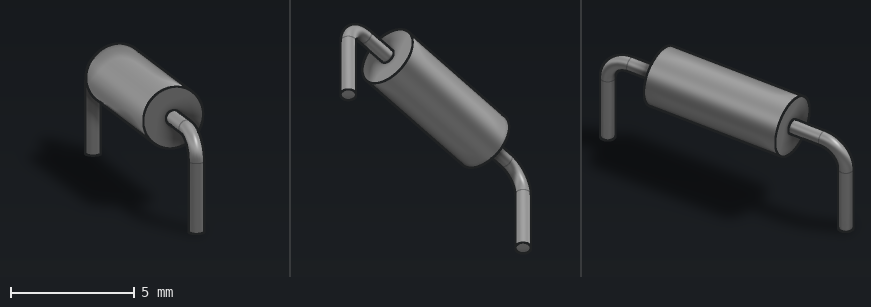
import cadquery as cq

overall_length = 12.06
overall_height = 5.41
body_diameter = 2.62
body_length = 6.31
lead_diameter = 0.64
bend_radius = 1.11

body_end = body_length / 2
lead_x = (overall_length - lead_diameter) / 2
bend_start = lead_x - bend_radius
tip_z = body_diameter / 2 - overall_height


def make_body():
    """Plain cylinder lying along X."""
    start = cq.Workplane("YZ", origin=(-body_end, 0, 0))
    return start.circle(body_diameter / 2).extrude(body_length)


def make_lead(side):
    """Round wire from one end face of the body, bent down; side is +1 or -1 along X."""
    path = (
        cq.Workplane("XZ")
        .moveTo(side * body_end, 0)
        .lineTo(side * bend_start, 0)
        .tangentArcPoint((side * lead_x, -bend_radius), relative=False)
        .lineTo(side * lead_x, tip_z)
    )
    return cq.Workplane("YZ", origin=(side * body_end, 0, 0)).circle(lead_diameter / 2).sweep(path)


body = make_body()
leads = [make_lead(side) for side in (-1, 1)]

result = cq.Compound.makeCompound([body.val(), *[lead.val() for lead in leads]])